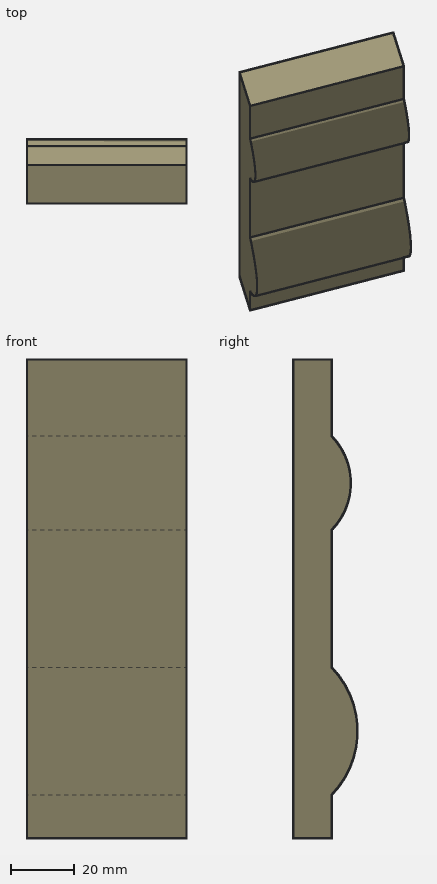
import cadquery as cq

width = 50.0
height = 149.7
depth = 20.2

large_rise = 8.1
large_center_z = 33.5
large_chord = 39.8
small_rise = 6.0
small_center_z = 111.0
small_chord = 29.3

plate_thickness = depth - large_rise
back_y = depth / 2
plate_back_y = back_y - large_rise
front_y = plate_back_y - plate_thickness


def add_ridge(profile, center_z, chord, rise):
    """Extend the profile up the plate's back face and over one arched ridge."""
    start = (plate_back_y, center_z - chord / 2)
    crown = (plate_back_y + rise, center_z)
    end = (plate_back_y, center_z + chord / 2)
    return profile.lineTo(*start).threePointArc(crown, end)


profile = cq.Workplane("YZ").moveTo(front_y, 0).lineTo(plate_back_y, 0)
profile = add_ridge(profile, large_center_z, large_chord, large_rise)
profile = add_ridge(profile, small_center_z, small_chord, small_rise)
profile = profile.lineTo(plate_back_y, height).lineTo(front_y, height).close()

result = profile.extrude(width / 2, both=True)